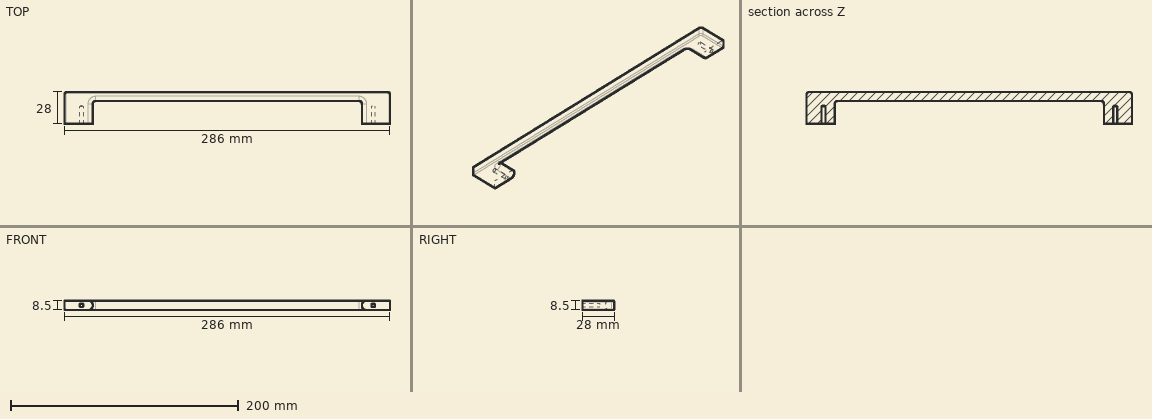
import cadquery as cq
import math

length = 286.0
depth = 28.0
thickness = 8.5
foot_width = 25.0
bar_width = 8.0

inner_round = thickness / 2
inner_corner_radius = 2.5
outer_corner_radius = 2.5
outer_edge_radius = 1.25

hole_spacing = 256.0
hole_radius = 1.65
hole_depth = 15.0
drill_tip_depth = 1.0

half_length = length / 2
half_depth = depth / 2
half_thickness = thickness / 2
foot_inner_x = half_length - foot_width
bar_inner_y = half_depth - bar_width

round_start_x = foot_inner_x + inner_round
round_start_y = bar_inner_y + inner_round
round_start_corner_radius = inner_corner_radius + inner_round


def flat_body():
    """U-shaped plate that stops where the half round of the hand side begins."""
    plate = cq.Workplane("XY").box(length, depth, thickness)
    opening = (
        cq.Workplane("XY")
        .box(2 * round_start_x, 2 * (round_start_y + half_depth), thickness)
        .translate((0, -half_depth, 0))
        .edges("|Z and >Y")
        .fillet(round_start_corner_radius)
    )
    body = plate.cut(opening).edges("|Z and >Y").fillet(outer_corner_radius)
    for z_side in (1, -1):
        outer_side = cq.selectors.NearestToPointSelector((0, half_depth, z_side * half_thickness))
        body = body.edges(outer_side).fillet(outer_edge_radius)
    return body


def hand_side_round():
    """Half round swept along the feet and the grip, following the U shape."""
    bend_x = round_start_x - round_start_corner_radius
    bend_y = round_start_y - round_start_corner_radius
    path = (
        cq.Workplane("XY")
        .moveTo(-round_start_x, -half_depth)
        .lineTo(-round_start_x, bend_y)
        .radiusArc((-bend_x, round_start_y), round_start_corner_radius)
        .lineTo(bend_x, round_start_y)
        .radiusArc((round_start_x, bend_y), round_start_corner_radius)
        .lineTo(round_start_x, -half_depth)
    )
    arc_offset = inner_round * math.cos(math.pi / 4)
    return (
        cq.Workplane("XZ", origin=(-round_start_x, -half_depth, 0))
        .moveTo(0, -inner_round)
        .threePointArc((arc_offset, -arc_offset), (inner_round, 0))
        .threePointArc((arc_offset, arc_offset), (0, inner_round))
        .close()
        .sweep(path)
    )


def screw_hole(x):
    """Drill shape entering the foot end at x, running along +Y."""
    return (
        cq.Workplane("YZ", origin=(x, -half_depth, 0))
        .lineTo(0, hole_radius)
        .lineTo(hole_depth, hole_radius)
        .lineTo(hole_depth + drill_tip_depth, 0)
        .close()
        .revolve(360, (0, 0, 0), (1, 0, 0))
    )


result = flat_body().union(hand_side_round())
for side in (-1, 1):
    result = result.cut(screw_hole(side * hole_spacing / 2))